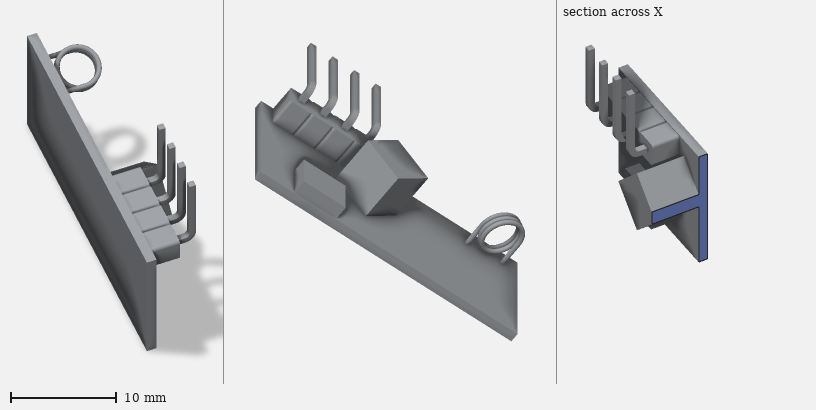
import cadquery as cq
import math

BOARD_LENGTH = 30.2
BOARD_HEIGHT = 13.1
BOARD_THICKNESS = 1.0

CAN_SIDE = 5.0
CAN_DEPTH = 5.15
CAN_X = 17.85
CAN_Z = 7.65
CAN_TURN = 45.0

CHIP_LENGTH = 4.9
CHIP_HEIGHT = 4.0
CHIP_DEPTH = 1.55
CHIP_EDGE_GAP = 0.1

PIN_COUNT = 4
PITCH = 2.54
HEADER_DEPTH = 2.92
HEADER_CORNER_RADIUS = 0.32
FIRST_PIN_X = 20.02
HEADER_Z = 11.71
PIN_WIDTH = 0.64
PIN_REACH = 4.92
PIN_TOP_Z = 19.4
PIN_INNER_RADIUS = 0.47

WIRE_DIAMETER = 0.5
COIL_RADIUS = 2.0
COIL_PITCH = 0.51
COIL_TURNS = 2.5
COIL_TILT = 25.0
COIL_X = 3.9
COIL_Z = 11.03
COIL_STANDOFF = 2.57

HEADER_X = FIRST_PIN_X + (PIN_COUNT - 1) * PITCH / 2


def plane_on_board(x, z):
    """Plane on the component face: local x = X, local y = -Z, normal = +Y."""
    return cq.Plane(origin=(x, BOARD_THICKNESS, z), xDir=(1, 0, 0), normal=(0, 1, 0))


def make_board():
    return cq.Workplane("XY").box(BOARD_LENGTH, BOARD_THICKNESS, BOARD_HEIGHT, centered=False)


def make_can():
    base = cq.Workplane(plane_on_board(CAN_X, CAN_Z)).transformed(rotate=(0, 0, CAN_TURN))
    return base.rect(CAN_SIDE, CAN_SIDE).extrude(CAN_DEPTH)


def make_chip():
    chip_z = CHIP_EDGE_GAP + CHIP_HEIGHT / 2
    base = cq.Workplane(plane_on_board(HEADER_X, chip_z))
    return base.rect(CHIP_LENGTH, CHIP_HEIGHT).extrude(CHIP_DEPTH)


def make_header_block(x):
    """One housing block of the header, rounded along its four long edges."""
    base = cq.Workplane(plane_on_board(x, HEADER_Z))
    return base.rect(PITCH, PITCH).extrude(HEADER_DEPTH).edges("|Y").fillet(HEADER_CORNER_RADIUS)


def make_pin(x):
    """Square pin that leaves the board along +Y and bends up to +Z."""
    half = PIN_WIDTH / 2
    outer_radius = PIN_INNER_RADIUS + PIN_WIDTH
    bottom = HEADER_Z - half
    top = HEADER_Z + half
    far_y = BOARD_THICKNESS + PIN_REACH
    near_y = far_y - PIN_WIDTH
    profile = (
        cq.Workplane("YZ", origin=(x - half, 0, 0))
        .moveTo(BOARD_THICKNESS, bottom)
        .lineTo(far_y - outer_radius, bottom)
        .radiusArc((far_y, bottom + outer_radius), -outer_radius)
        .lineTo(far_y, PIN_TOP_Z)
        .lineTo(near_y, PIN_TOP_Z)
        .lineTo(near_y, top + PIN_INNER_RADIUS)
        .radiusArc((near_y - PIN_INNER_RADIUS, top), PIN_INNER_RADIUS)
        .lineTo(BOARD_THICKNESS, top)
        .close()
    )
    return profile.extrude(PIN_WIDTH)


def make_coil():
    """Tilted left-handed helix; its two ends run straight back to the board along -Y."""
    tilt = math.radians(COIL_TILT)
    axis = cq.Vector(math.sin(tilt), 0, math.cos(tilt))
    across = cq.Vector(math.cos(tilt), 0, -math.sin(tilt))
    height = COIL_PITCH * COIL_TURNS
    centre = cq.Vector(COIL_X, BOARD_THICKNESS + COIL_STANDOFF, COIL_Z)
    base = centre - axis * (height / 2)
    start = base - across * COIL_RADIUS
    end = centre + axis * (height / 2) + across * COIL_RADIUS

    coil_plane = cq.Plane(origin=base, xDir=across * -1, normal=axis)
    helix = cq.Wire.makeHelix(COIL_PITCH, height, COIL_RADIUS, lefthand=True)
    path = helix.moved(cq.Location(coil_plane))
    section_plane = cq.Plane(origin=start, xDir=across, normal=(0, 1, 0))
    section = cq.Workplane(section_plane).circle(WIRE_DIAMETER / 2)
    coil = section.sweep(cq.Workplane(path), isFrenet=True)

    for leg_end in (start, end):
        foot = cq.Workplane(plane_on_board(leg_end.x, leg_end.z))
        coil = coil.union(foot.circle(WIRE_DIAMETER / 2).extrude(COIL_STANDOFF))
    return coil


result = make_board().union(make_can()).union(make_chip())
for index in range(PIN_COUNT):
    pin_x = FIRST_PIN_X + index * PITCH
    result = result.union(make_header_block(pin_x)).union(make_pin(pin_x))
result = result.union(make_coil())